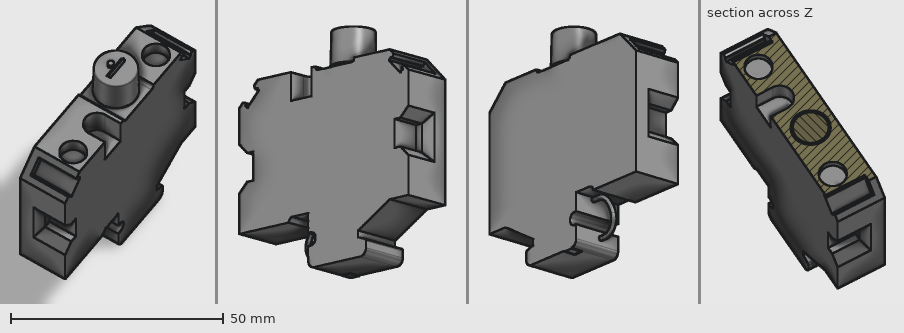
import cadquery as cq
import math

WIDTH = 12.9
DEPTH = 54.0
HALF_DEPTH = DEPTH / 2
TOP_Z = 49.0
SHOULDER_Z = 12.45
SHELF_Z = 13.7
FOOT_Z = 0.2
CORNER_CHAMFER = 5.95
SHELF_END_Y = -11.25
SHELF_RUN_OUT = 1.15
SHELF_RADIUS = 1.75

FOOT_FRONT_Y = -5.0
FOOT_BACK_Y = 13.45
WAIST_Y = 11.0
WAIST_LOW_Z = 5.0
RAMP_START_Y = 21.1
RAMP_ANGLE = 30.0
TOE_ANGLE = 18.0
TOE_RADIUS = 0.7
FOOT_RADIUS = 1.8
PAD_WIDTH = 3.2
PAD_LENGTH = 2.65
NOTCH_RADIUS = 1.65
NOTCH_DEPTH = 2.3
NOTCH_Z = 7.25

CAP_X = 6.4
CAP_Y = 3.5
SEAT_WIDTH = 12.4
SEAT_DEPTH = 1.0
SEAT_FILLET = 0.95
SOCKET_RADIUS = 4.7
SOCKET_BOTTOM_Z = 45.05

HOLE_X = 8.4
HOLE_RADIUS = 3.3
HOLE_Y = 17.15
HOLE_DEPTH = 3.7
SLOT_Y = -7.25
SLOT_DEPTH = 7.0

LABEL_X = 2.1
LABEL_HALF_MOUTH = 2.4
LABEL_HALF_THROAT = 4.25 / 2
LABEL_HALF_FLOOR = 2.6
LABEL_FLARE_DEPTH = 0.8
LABEL_LIP_DEPTH = 1.05
LABEL_DEPTH = 2.05

ENTRY_X = 3.85
ENTRY_INNER_X = 5.4
ENTRY_Z = 28.25
ENTRY_HEIGHT = 12.0
ENTRY_INNER_HEIGHT = 7.0
FUNNEL_DEPTH = 2.6
ENTRY_DEPTH = 4.45

NECK_RADIUS = 4.25
CAP_BASE_RADIUS = 5.5
CAP_TOP_RADIUS = 5.25
CAP_TOP_Z = 57.6
CAP_EDGE = 0.2
STUD_RADIUS = 0.75
STUD_OFFSET = 1.45
STUD_TOP_Z = 58.5
RIDGE_WIDTH = 1.05
RIDGE_HEIGHT = 0.6
RIDGE_LENGTH = 6.1

WIRE_RADIUS = 1.2 / 2
WIRE_ROOT_X = 5.3
WIRE_ROOT_Z = SHELF_Z - WIRE_RADIUS
WIRE_TILT = 14.2
WIRE_HEIGHT = 9.5
WIRE_REACH = 5.8
UPPER_STUB = 2.0
LOWER_STUB = 1.15
BEND_OUT = 4.6
BEND_DOWN = 1.35


def housing_plate():
    waist_top_z = SHOULDER_Z - (RAMP_START_Y - WAIST_Y) * math.tan(math.radians(RAMP_ANGLE))
    toe_z = WAIST_LOW_Z - (FOOT_BACK_Y - WAIST_Y) * math.tan(math.radians(TOE_ANGLE))
    outline = [
        (-HALF_DEPTH, SHOULDER_Z),
        (-HALF_DEPTH, TOP_Z - CORNER_CHAMFER),
        (-HALF_DEPTH + CORNER_CHAMFER, TOP_Z),
        (HALF_DEPTH - CORNER_CHAMFER, TOP_Z),
        (HALF_DEPTH, TOP_Z - CORNER_CHAMFER),
        (HALF_DEPTH, SHOULDER_Z),
        (RAMP_START_Y, SHOULDER_Z),
        (WAIST_Y, waist_top_z),
        (WAIST_Y, WAIST_LOW_Z),
        (FOOT_BACK_Y, toe_z),
        (FOOT_BACK_Y, FOOT_Z),
        (FOOT_FRONT_Y, FOOT_Z),
        (FOOT_FRONT_Y, SHELF_Z),
        (SHELF_END_Y + SHELF_RUN_OUT, SHELF_Z),
    ]
    plate = (
        cq.Workplane("YZ")
        .polyline(outline)
        .radiusArc((SHELF_END_Y, SHOULDER_Z), -SHELF_RADIUS)
        .close()
        .extrude(WIDTH)
    )
    mid_x = WIDTH / 2
    for y in (FOOT_BACK_Y, FOOT_FRONT_Y):
        plate = plate.edges(cq.NearestToPointSelector((mid_x, y, FOOT_Z))).fillet(FOOT_RADIUS)
    return plate.edges(cq.NearestToPointSelector((mid_x, FOOT_BACK_Y, toe_z))).fillet(TOE_RADIUS)


def foot_pad():
    pad = cq.Workplane("XY").box(PAD_WIDTH, PAD_LENGTH, 2 * FOOT_Z, centered=False)
    return pad.translate((0, FOOT_FRONT_Y + FOOT_RADIUS, 0))


def rail_notch():
    center_y = FOOT_FRONT_Y + NOTCH_DEPTH - NOTCH_RADIUS
    round_end = cq.Workplane("YZ").center(center_y, NOTCH_Z).circle(NOTCH_RADIUS).extrude(WIDTH)
    mouth = (
        cq.Workplane("YZ")
        .center(center_y - NOTCH_RADIUS, NOTCH_Z)
        .rect(2 * NOTCH_RADIUS, 2 * NOTCH_RADIUS)
        .extrude(WIDTH)
    )
    return round_end.union(mouth)


def cap_seat():
    seat = cq.Workplane("YZ").center(CAP_Y, TOP_Z).rect(SEAT_WIDTH, 2 * SEAT_DEPTH).extrude(WIDTH)
    return seat.edges("|X and <Z").fillet(SEAT_FILLET)


def cap_socket():
    return (
        cq.Workplane("XY", origin=(CAP_X, CAP_Y, SOCKET_BOTTOM_Z))
        .circle(SOCKET_RADIUS)
        .extrude(TOP_Z - SOCKET_BOTTOM_Z)
    )


def screw_holes():
    return (
        cq.Workplane("XY", origin=(0, 0, TOP_Z))
        .pushPoints([(HOLE_X, -HOLE_Y), (HOLE_X, HOLE_Y)])
        .circle(HOLE_RADIUS)
        .extrude(-HOLE_DEPTH)
    )


def side_slot():
    top = cq.Workplane("XY", origin=(HOLE_X, SLOT_Y, TOP_Z))
    straight = top.center(HOLE_RADIUS, 0).rect(2 * HOLE_RADIUS, 2 * HOLE_RADIUS).extrude(-SLOT_DEPTH)
    return top.circle(HOLE_RADIUS).extrude(-SLOT_DEPTH).union(straight)


def label_groove():
    middle = (LABEL_X, CORNER_CHAMFER / 2 - HALF_DEPTH, TOP_Z - CORNER_CHAMFER / 2)
    profile_plane = cq.Plane(origin=middle, xDir=(0, 1, 1), normal=(1, 0, 0))
    half_profile = [
        (LABEL_HALF_MOUTH, 0),
        (LABEL_HALF_THROAT, -LABEL_FLARE_DEPTH),
        (LABEL_HALF_THROAT, -LABEL_LIP_DEPTH),
        (LABEL_HALF_FLOOR, -LABEL_LIP_DEPTH),
        (LABEL_HALF_FLOOR, -LABEL_DEPTH),
    ]
    other_half = [(-along, depth) for along, depth in reversed(half_profile)]
    profile = half_profile + other_half
    return cq.Workplane(profile_plane).polyline(profile).close().extrude(WIDTH - LABEL_X)


def wire_entry():
    face = cq.Workplane("XZ", origin=(0, -HALF_DEPTH, ENTRY_Z))
    outer_width = WIDTH - ENTRY_X
    inner_width = WIDTH - ENTRY_INNER_X
    funnel = (
        face.center(ENTRY_X + outer_width / 2, 0)
        .rect(outer_width, ENTRY_HEIGHT)
        .workplane(offset=-FUNNEL_DEPTH)
        .center((ENTRY_INNER_X - ENTRY_X) / 2, 0)
        .rect(inner_width, ENTRY_INNER_HEIGHT)
        .loft(ruled=True)
    )
    pocket = (
        face.center(ENTRY_INNER_X + inner_width / 2, 0)
        .rect(inner_width, ENTRY_INNER_HEIGHT)
        .extrude(-ENTRY_DEPTH)
    )
    return funnel.union(pocket)


def make_housing():
    body = housing_plate().union(foot_pad())
    for feature_cut in (rail_notch(), cap_seat(), cap_socket(), screw_holes(), side_slot()):
        body = body.cut(feature_cut)
    for end_cut in (label_groove(), wire_entry()):
        body = body.cut(end_cut).cut(end_cut.mirror("XZ"))
    return body


def make_screw_cap():
    cap = (
        cq.Workplane("XZ")
        .polyline([
            (0, SOCKET_BOTTOM_Z),
            (NECK_RADIUS, SOCKET_BOTTOM_Z),
            (NECK_RADIUS, TOP_Z),
            (CAP_BASE_RADIUS, TOP_Z),
            (CAP_TOP_RADIUS, CAP_TOP_Z),
            (0, CAP_TOP_Z),
        ])
        .close()
        .revolve(360, (0, 0, 0), (0, 1, 0))
        .faces(">Z")
        .edges()
        .fillet(CAP_EDGE)
    )
    stud = (
        cq.Workplane("XY", origin=(-STUD_OFFSET, 0, CAP_TOP_Z))
        .circle(STUD_RADIUS)
        .extrude(STUD_TOP_Z - CAP_TOP_Z)
    )
    ridge = (
        cq.Workplane("XZ", origin=(0, RIDGE_LENGTH / 2, CAP_TOP_Z))
        .polyline([(-RIDGE_WIDTH / 2, 0), (RIDGE_WIDTH / 2, 0), (0, RIDGE_HEIGHT)])
        .close()
        .extrude(RIDGE_LENGTH)
    )
    return cap.union(stud).union(ridge).translate((CAP_X, CAP_Y, 0))


def make_wire_loop():
    tilt = math.radians(WIRE_TILT)
    loop_plane = cq.Plane(
        origin=(WIRE_ROOT_X, FOOT_FRONT_Y, WIRE_ROOT_Z),
        xDir=(0, -1, 0),
        normal=(math.cos(tilt), 0, math.sin(tilt)),
    )
    lower_bend = WIRE_REACH - LOWER_STUB
    path = (
        cq.Workplane(loop_plane)
        .lineTo(UPPER_STUB, 0)
        .spline(
            [(BEND_OUT, BEND_DOWN), (WIRE_REACH, WIRE_HEIGHT - lower_bend)],
            tangents=[(1, 0), (0, 1)],
            includeCurrent=True,
        )
        .radiusArc((LOWER_STUB, WIRE_HEIGHT), -lower_bend)
        .lineTo(0, WIRE_HEIGHT)
    )
    root = cq.Workplane("XZ", origin=(WIRE_ROOT_X, FOOT_FRONT_Y, WIRE_ROOT_Z))
    return root.circle(WIRE_RADIUS).sweep(path)


housing = make_housing()
screw_cap = make_screw_cap()
wire_loop = make_wire_loop()

bodies = [housing, screw_cap, wire_loop]
result = cq.Compound.makeCompound([body.solids().val() for body in bodies])